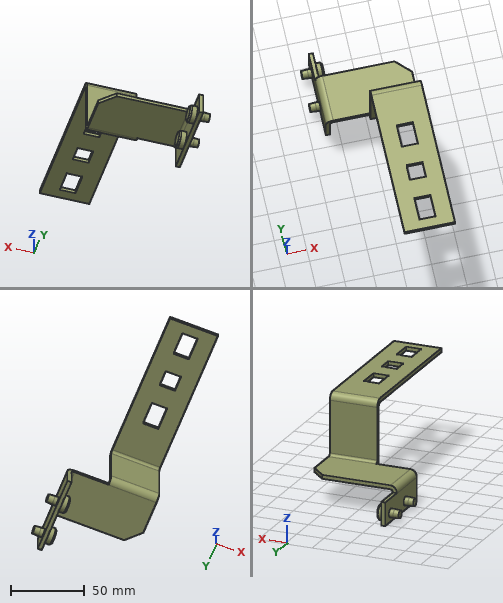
import cadquery as cq

sheet = 3.0
inner_bend = 2.0
outer_bend = inner_bend + sheet

total_length = 165.0
total_height = 67.0
plate_width = 65.0

shelf_top = 22.0
shelf_bottom = shelf_top - sheet
shelf_depth = 34.0
flange_length = 54.0
flange_start = total_length - flange_length
flange_height = shelf_top - outer_bend
corner_cut = 10.0

arm_width = 35.0
arm_left = plate_width - arm_width
wall_back = flange_start - inner_bend
wall_front = wall_back - sheet

window_width = 11.0
windows = [(15.2, 16.2), (42.7, 11.0), (70.5, 16.2)]

stud_end_offset = 9.5
stud_count = 2
stud_spacing = 25.0
stud_height = 6.3
stud_reach = 7.0
stud_diameter = 6.3
tip_length = 4.0
tip_diameter = 5.6
head_diameter = 12.0
head_length = 5.0
head_chamfer = 1.2


def make_flanged_shelf():
    """Horizontal shelf bent down into the longer flange."""
    shelf = (
        cq.Workplane("XZ", origin=(0, flange_start, 0))
        .lineTo(0, flange_height)
        .radiusArc((outer_bend, shelf_top), outer_bend)
        .lineTo(plate_width, shelf_top)
        .lineTo(plate_width, shelf_bottom)
        .lineTo(outer_bend, shelf_bottom)
        .radiusArc((sheet, flange_height), -inner_bend)
        .lineTo(sheet, 0)
        .close()
        .extrude(-shelf_depth)
        .edges("|Z and >X and >Y")
        .chamfer(corner_cut)
    )
    flange = cq.Workplane("XY").box(sheet, flange_length, flange_height, centered=False)
    return shelf.union(flange.translate((0, flange_start, 0)))


def make_arm():
    """Strip rising from the shelf edge and bending over to the free end."""
    arm_bottom = total_height - sheet
    top_bend_start = wall_back - outer_bend
    return (
        cq.Workplane("YZ", origin=(arm_left, 0, 0))
        .moveTo(0, arm_bottom)
        .lineTo(0, total_height)
        .lineTo(top_bend_start, total_height)
        .radiusArc((wall_back, total_height - outer_bend), outer_bend)
        .lineTo(wall_back, shelf_top + inner_bend)
        .radiusArc((flange_start, shelf_top), -inner_bend)
        .lineTo(flange_start, shelf_bottom)
        .radiusArc((wall_front, shelf_bottom + outer_bend), outer_bend)
        .lineTo(wall_front, total_height - outer_bend)
        .radiusArc((top_bend_start, arm_bottom), -inner_bend)
        .close()
        .extrude(arm_width)
    )


def make_window(distance, length):
    """Rectangular cutter through the top of the arm."""
    centre = (arm_left + arm_width / 2, distance, total_height)
    cutter_height = 4 * sheet
    return cq.Workplane("XY").box(window_width, length, cutter_height).translate(centre)


def make_stud(y):
    """Taper-tipped stud through the flange with a chamfered round head."""
    axis = cq.Workplane("YZ", origin=(-stud_reach, y, stud_height))
    tip = (
        axis.circle(tip_diameter / 2)
        .workplane(offset=tip_length)
        .circle(stud_diameter / 2)
        .loft(ruled=True)
    )
    shank_length = stud_reach - tip_length + sheet
    shank = axis.workplane(offset=tip_length).circle(stud_diameter / 2).extrude(shank_length)
    head = (
        axis.workplane(offset=stud_reach + sheet)
        .circle(head_diameter / 2)
        .extrude(head_length)
        .faces(">X")
        .chamfer(head_chamfer)
    )
    return tip.union(shank).union(head)


result = make_flanged_shelf().union(make_arm())
for distance, length in windows:
    result = result.cut(make_window(distance, length))
for index in range(stud_count):
    result = result.union(make_stud(total_length - stud_end_offset - index * stud_spacing))